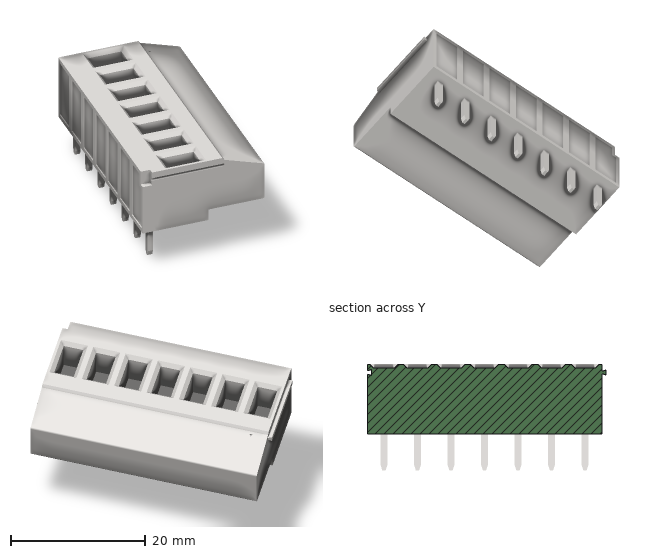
import cadquery as cq
pole_count = 7
overall_length = 35.6
rail_depth = 0.6
body_length = overall_length - rail_depth
pitch = body_length / pole_count
body_left = rail_depth
body_right = overall_length
pole_centres = [body_left + pitch * (pole + 0.5) for pole in range(pole_count)]

overall_depth = 19.5
overall_height = 15.9
pin_length = 5.5
body_bottom = pin_length
body_top = overall_height
foot_depth = 10.55
back_underside_height = 1.85
top_flat_end = 12.75
bevel_end = 13.1
bevel_drop = 0.4
back_edge_drop = 2.5
back_edge_fillet = 0.3

plate_depth = 1.5
panel_width = 4.0
panel_margin = 0.68
panel_recess = 0.18
notch_width = 0.82
notch_height = 2.25
notch_rim = 0.45

rail_end = bevel_end
rail_top_drop = 0.82
rail_wide = 0.82
rail_narrow = 0.43

window_width = 4.15
window_front = 3.77
window_back = 10.25
window_bevel = 0.57
window_depth = 5.0

pin_width = 1.0
pin_thickness = 0.82
pin_front = 1.6
pin_tip_width = 0.45
pin_taper = 0.82

mark_base = 0.5
mark_length = 0.45
mark_front = 13.5
mark_depth = 0.2


def box(x0, x1, y0, y1, z0, z1):
    return cq.Workplane("XY").box(x1 - x0, y1 - y0, z1 - z0, centered=False).translate((x0, y0, z0))


def make_housing():
    underside = body_bottom + back_underside_height
    profile = [
        (0, body_bottom),
        (foot_depth, body_bottom),
        (foot_depth, underside),
        (overall_depth, underside),
        (overall_depth, body_top - back_edge_drop),
        (bevel_end, body_top - bevel_drop),
        (top_flat_end, body_top),
        (0, body_top),
    ]
    housing = cq.Workplane("YZ", origin=(body_left, 0, 0)).polyline(profile).close().extrude(body_length)
    return housing.faces(">Y").edges("|X").fillet(back_edge_fillet)


def make_dovetail(outer_x):
    """Bar along Y with its wide face at outer_x and its narrow face one rail_depth further in +X."""
    wide_top = body_top - rail_top_drop
    narrow_top = wide_top - (rail_wide - rail_narrow) / 2
    section = [
        (outer_x, wide_top),
        (outer_x, wide_top - rail_wide),
        (outer_x + rail_depth, narrow_top - rail_narrow),
        (outer_x + rail_depth, narrow_top),
    ]
    plane = cq.Workplane("XZ", origin=(0, plate_depth, 0))
    return plane.polyline(section).close().extrude(-(rail_end - plate_depth))


def make_panel(centre_x):
    half = panel_width / 2
    panel_bottom = body_bottom + panel_margin
    panel_top = body_top - panel_margin
    return box(centre_x - half, centre_x + half, 0, panel_recess, panel_bottom, panel_top)


def make_corner_notch(rim, depth):
    return box(body_right - notch_width - rim, body_right, 0, depth, body_top - notch_height - rim, body_top)


def make_window(centre_x):
    centre_y = (window_front + window_back) / 2
    window_length = window_back - window_front
    throat_width = window_width - 2 * window_bevel
    throat_length = window_length - 2 * window_bevel
    top_plane = cq.Workplane("XY", origin=(centre_x, centre_y, body_top))
    throat = top_plane.rect(throat_width, throat_length).extrude(-window_depth)
    mouth = (
        top_plane.rect(window_width, window_length)
        .workplane(offset=-window_bevel)
        .rect(throat_width, throat_length)
        .loft(ruled=True)
    )
    return throat.union(mouth)


def make_pin(centre_x):
    half = pin_width / 2
    half_tip = pin_tip_width / 2
    outline = [
        (-half, body_bottom),
        (-half, pin_taper),
        (-half_tip, 0),
        (half_tip, 0),
        (half, pin_taper),
        (half, body_bottom),
    ]
    plane = cq.Workplane("XZ", origin=(centre_x, pin_front, 0))
    return plane.polyline(outline).close().extrude(-pin_thickness)


def make_pin_one_mark():
    """Triangular cutter reaching mark_depth below the slope at its front edge."""
    centre_x = pole_centres[0]
    slope = (back_edge_drop - bevel_drop) / (overall_depth - bevel_end)
    surface = body_top - bevel_drop - slope * (mark_front - bevel_end)
    outline = [
        (centre_x - mark_base / 2, mark_front),
        (centre_x + mark_base / 2, mark_front),
        (centre_x, mark_front + mark_length),
    ]
    plane = cq.Workplane("XY", origin=(0, 0, surface - mark_depth))
    return plane.polyline(outline).close().extrude(2 * mark_depth)


result = make_housing()

for pole_x in pole_centres:
    panel = make_panel(pole_x)
    if pole_x == pole_centres[-1]:
        panel = panel.cut(make_corner_notch(notch_rim, panel_recess))
    result = result.cut(panel).cut(make_window(pole_x)).union(make_pin(pole_x))

result = result.cut(make_corner_notch(0, plate_depth))
result = result.cut(make_dovetail(body_right - rail_depth)).union(make_dovetail(0))
result = result.cut(make_pin_one_mark())